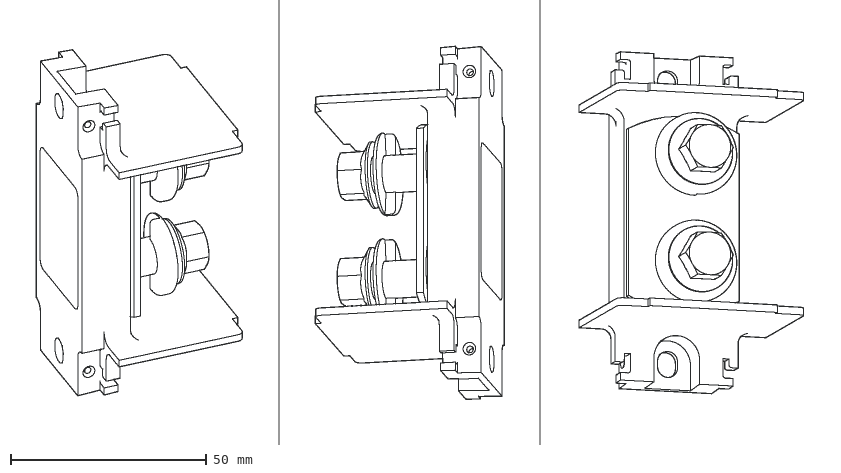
import cadquery as cq
import math

length = 86.2
body_half_width = 15.1
body_depth = 13.45
neck_half_width = 12.4
neck_depth = 10.1
end_draft = 0.4

plate_half_width = 25.0
plate_thickness = 2.0
plate_top = 29.0
plate_bottom = plate_top - plate_thickness
plate_front = 6.2
plate_back = 42.5
plate_tongue_half_width = 17.1
plate_shoulder = 40.95
plate_corner_radius = 1.7

upper_side_radius = 2.5
lower_side_radius = 2.9
back_radius = 1.5

post_outer = 16.5
post_inner = 14.0
post_top = 37.9
post_edge_radius = 0.7
shelf_top = 35.7
tab_bottom = 40.7
tab_root_radius = 0.6

slot_z = 36.5
slot_radius = 2.7
slot_length = 6.7
pocket_radius = 6.1
pocket_floor = 2.1
side_hole_y = 3.1
side_hole_z = 36.6
side_hole_depth = 3.45
side_hole_radius = 0.9
countersink_radius = 1.6
countersink_depth = countersink_radius - side_hole_radius

recess_half_width = 12.5
recess_half_height = 18.1
recess_depth = 4.05
recess_corner_radius = 2.2
recess_floor_radius = 1.0
recess_draft = 4.0

screw_z = 14.0
boss_radius = 11.55
bar_front = 14.65
bar_back = 16.5
bar_half_width = 14.8
bar_side_half_height = 21.7
bar_half_height = screw_z + boss_radius

shank_radius = 4.8
washer_radius = 10.6
washer_front = 25.25
washer_back = 29.0
washer_step_rim = 27.9
washer_step_hub = 27.5
washer_edge_radius = washer_back - washer_step_rim
flange_front = 30.7
flange_rim_back = 31.3
flange_radius = 8.5
flange_back = 33.2
flange_top_radius = 5.6
head_back = 39.3
head_across_flats = 11.0
head_land_width = 1.2
head_corner_chamfer = 0.35


def box(x0, x1, y0, y1, z0, z1):
    return cq.Workplane("XY").box(x1 - x0, y1 - y0, z1 - z0, centered=False).translate((x0, y0, z0))


def xz_sketch(y):
    """Workplane facing -Y at the given Y; a negative extrusion goes toward +Y."""
    return cq.Workplane("XZ", origin=(0, y, 0))


def disc(radius, y0, y1, z=0.0):
    return xz_sketch(y0).center(0, z).circle(radius).extrude(y0 - y1)


def turned(profile):
    """Solid of revolution about Y from (radius, y) points that start and end on the axis."""
    return cq.Workplane("XY").polyline(profile).close().revolve(360, (0, 0, 0), (0, 1, 0))


def both_sides(shape):
    return shape.union(shape.mirror("YZ"))


def concave_mid(corner_u, corner_v, radius, u_direction, v_direction):
    """Middle point of a fillet arc tangent to both sides of an inside corner."""
    inset = radius * (1 - math.sqrt(0.5))
    return corner_u + u_direction * inset, corner_v + v_direction * inset


def root_flare(half_width, back, side_radius, root_z, direction):
    """Flare on a plate face: side and back fillets that meet in a mitre."""
    tip_z = root_z + direction * side_radius
    right_mid = concave_mid(half_width, root_z, side_radius, 1, direction)
    side_profile = (
        xz_sketch(plate_front)
        .moveTo(-half_width - side_radius, root_z)
        .lineTo(half_width + side_radius, root_z)
        .threePointArc(right_mid, (half_width, tip_z))
        .lineTo(-half_width, tip_z)
        .threePointArc((-right_mid[0], right_mid[1]), (-half_width - side_radius, root_z))
        .close()
        .extrude(-(back + back_radius - plate_front))
    )
    back_profile = (
        cq.Workplane("YZ")
        .moveTo(plate_front, root_z)
        .lineTo(back + back_radius, root_z)
        .threePointArc(
            concave_mid(back, root_z, back_radius, 1, direction),
            (back, root_z + direction * back_radius),
        )
        .lineTo(back, tip_z)
        .lineTo(plate_front, tip_z)
        .close()
        .extrude(half_width + side_radius, both=True)
    )
    return side_profile.intersect(back_profile)


def barrier_plate():
    plate = box(-plate_half_width, plate_half_width, plate_front, plate_shoulder, plate_bottom, plate_top)
    plate = plate.edges("|Z and >Y").fillet(plate_corner_radius)
    tongue = box(
        -plate_tongue_half_width, plate_tongue_half_width, plate_front, plate_back, plate_bottom, plate_top
    )
    return plate.union(tongue)


def neck():
    """Narrow end of the housing, its end face leaning back from the front edge."""
    end_z = length / 2
    block = (
        cq.Workplane("YZ")
        .moveTo(0, 0)
        .lineTo(0, end_z)
        .lineTo(neck_depth, end_z - end_draft)
        .lineTo(neck_depth, 0)
        .close()
        .extrude(neck_half_width, both=True)
    )
    step = body_half_width - neck_half_width
    shoulder = (
        xz_sketch(0)
        .moveTo(neck_half_width, plate_top)
        .lineTo(body_half_width, plate_top)
        .threePointArc(
            concave_mid(neck_half_width, plate_top, step, 1, 1), (neck_half_width, plate_top + step)
        )
        .close()
        .extrude(-plate_front)
    )
    return block.union(both_sides(shoulder))


def post():
    """Upright beside the neck, joined to it by a lower shelf."""
    upright = box(post_inner, post_outer, plate_front, neck_depth, plate_top, post_top)
    upright = upright.edges("|Y and <X and >Z").fillet(post_edge_radius)
    shelf = box(neck_half_width, post_inner, plate_front, neck_depth, plate_top, shelf_top)
    return upright.union(shelf)


def tab():
    """Small lug at the end of the neck, following the leaning end face."""
    front_z = length / 2 - end_draft * plate_front / neck_depth
    lug = (
        cq.Workplane("YZ", origin=(neck_half_width, 0, 0))
        .moveTo(plate_front, tab_bottom)
        .lineTo(plate_front, front_z)
        .lineTo(neck_depth, length / 2 - end_draft)
        .lineTo(neck_depth, tab_bottom)
        .close()
        .extrude(body_half_width - neck_half_width)
    )
    root = (
        xz_sketch(plate_front)
        .moveTo(neck_half_width, tab_bottom)
        .lineTo(neck_half_width + tab_root_radius, tab_bottom)
        .threePointArc(
            concave_mid(neck_half_width, tab_bottom, tab_root_radius, 1, -1),
            (neck_half_width, tab_bottom - tab_root_radius),
        )
        .close()
        .extrude(plate_front - neck_depth)
    )
    return lug.union(root)


def mounting_cut():
    """Vertical slot through the front web and the open pocket behind it."""
    slot = xz_sketch(0).center(0, slot_z).slot2D(slot_length, 2 * slot_radius, 90).extrude(-neck_depth)
    round_end = disc(pocket_radius, pocket_floor, neck_depth, slot_z)
    channel = box(-pocket_radius, pocket_radius, pocket_floor, neck_depth, slot_z, length / 2)
    return slot.union(round_end).union(channel)


def side_hole_cut():
    """Blind countersunk hole in the side of the neck."""
    hole = turned(
        [
            (0, 0),
            (countersink_radius, 0),
            (side_hole_radius, -countersink_depth),
            (side_hole_radius, -side_hole_depth),
            (0, -side_hole_depth),
        ]
    )
    hole = hole.rotate((0, 0, 0), (0, 0, 1), -90)
    return hole.translate((neck_half_width, side_hole_y, side_hole_z))


def housing_end():
    end = neck().union(barrier_plate())
    end = end.union(root_flare(post_outer, neck_depth, upper_side_radius, plate_top, 1))
    end = end.union(root_flare(body_half_width, body_depth, lower_side_radius, plate_bottom, -1))
    end = end.union(both_sides(post())).union(both_sides(tab()))
    return end.cut(mounting_cut()).cut(both_sides(side_hole_cut()))


def recess_cut():
    recess = (
        xz_sketch(0)
        .rect(2 * recess_half_width, 2 * recess_half_height)
        .extrude(-recess_depth, taper=recess_draft)
    )
    recess = recess.edges("not(|X or |Z)").fillet(recess_corner_radius)
    return recess.faces(">Y").edges().fillet(recess_floor_radius)


def terminal_bar():
    bar = (
        xz_sketch(bar_front)
        .moveTo(-bar_half_width, -bar_side_half_height)
        .threePointArc((0, -bar_half_height), (bar_half_width, -bar_side_half_height))
        .lineTo(bar_half_width, bar_side_half_height)
        .threePointArc((0, bar_half_height), (-bar_half_width, bar_side_half_height))
        .close()
        .extrude(bar_front - bar_back)
    )
    for z in (-screw_z, screw_z):
        bar = bar.union(disc(boss_radius, body_depth, bar_front, z))
    return bar


def make_housing():
    body = box(-body_half_width, body_half_width, 0, body_depth, -plate_top, plate_top)
    end = housing_end()
    body = body.union(end).union(end.mirror("XY"))
    return body.cut(recess_cut()).union(terminal_bar())


def washer():
    """Stepped washer: thick on the +X half, thin with a conical front on the -X half."""
    thick = disc(washer_radius, washer_front, washer_back).edges().fillet(washer_edge_radius)
    relief = turned(
        [
            (0, washer_front),
            (washer_radius, washer_front),
            (washer_radius, washer_step_rim),
            (0, washer_step_hub),
        ]
    )
    thin_half = box(-washer_radius, 0, washer_front, washer_back, -washer_radius, washer_radius)
    return thick.cut(relief.intersect(thin_half))


def screw_head():
    """Hexagon whose flats carry narrow rounded lands, on a conical flange."""
    corner_radius = head_across_flats / 2 / math.cos(math.pi / 6)
    land_radius = math.hypot(head_across_flats / 2, head_land_width / 2)
    hexagon = xz_sketch(flange_front).polygon(6, 2 * corner_radius).extrude(flange_front - head_back)
    end_cone = turned(
        [
            (0, flange_front),
            (corner_radius, flange_front),
            (corner_radius, head_back - head_corner_chamfer),
            (land_radius, head_back),
            (0, head_back),
        ]
    )
    flange = turned(
        [
            (0, flange_front),
            (flange_radius, flange_front),
            (flange_radius, flange_rim_back),
            (flange_top_radius, flange_back),
            (0, flange_back),
        ]
    )
    lands = disc(land_radius, flange_front, head_back)
    return hexagon.intersect(end_cone).union(lands).union(flange)


def make_screw(z):
    shank = disc(shank_radius, bar_back, flange_front)
    return shank.union(washer()).union(screw_head()).translate((0, 0, z))


housing = make_housing()
screws = [make_screw(z) for z in (-screw_z, screw_z)]

result = cq.Compound.makeCompound([housing.solids().val(), *[screw.solids().val() for screw in screws]])